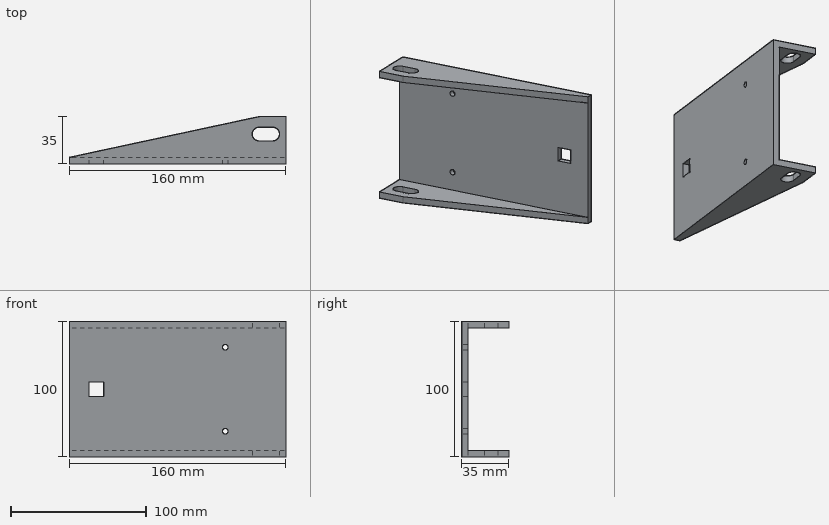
import cadquery as cq

length = 160.0
depth = 35.0
height = 100.0
thickness = 5.0

flange_flat_length = 20.0
slot_length = 20.0
slot_width = 10.0
slot_center_x = 145.0
slot_center_y = 22.0

window_size = 10.5
window_center_x = 20.0
hole_diameter = 4.0
hole_center_x = 115.0
hole_spacing = 62.0


def make_flange(bottom_z):
    """Tapered side flange with its slot, resting at the given height."""
    flange = (
        cq.Workplane("XY", origin=(0, 0, bottom_z))
        .moveTo(0, 0)
        .lineTo(length, 0)
        .lineTo(length, depth)
        .lineTo(length - flange_flat_length, depth)
        .lineTo(0, thickness)
        .close()
        .extrude(thickness)
    )
    slot = (
        cq.Workplane("XY", origin=(0, 0, bottom_z))
        .center(slot_center_x, slot_center_y)
        .slot2D(slot_length, slot_width)
        .extrude(thickness)
    )
    return flange.cut(slot)


def make_plate():
    """Face plate with a square window and two small round holes."""
    plate = cq.Workplane("XY").box(length, thickness, height, centered=False)
    face = cq.Workplane("XZ", origin=(0, 0, height / 2))
    window = face.center(window_center_x, 0).rect(window_size, window_size).extrude(-thickness)
    holes = (
        face.pushPoints([(hole_center_x, side * hole_spacing / 2) for side in (-1, 1)])
        .circle(hole_diameter / 2)
        .extrude(-thickness)
    )
    return plate.cut(window).cut(holes)


result = make_plate()
for flange_bottom in (0, height - thickness):
    result = result.union(make_flange(flange_bottom))